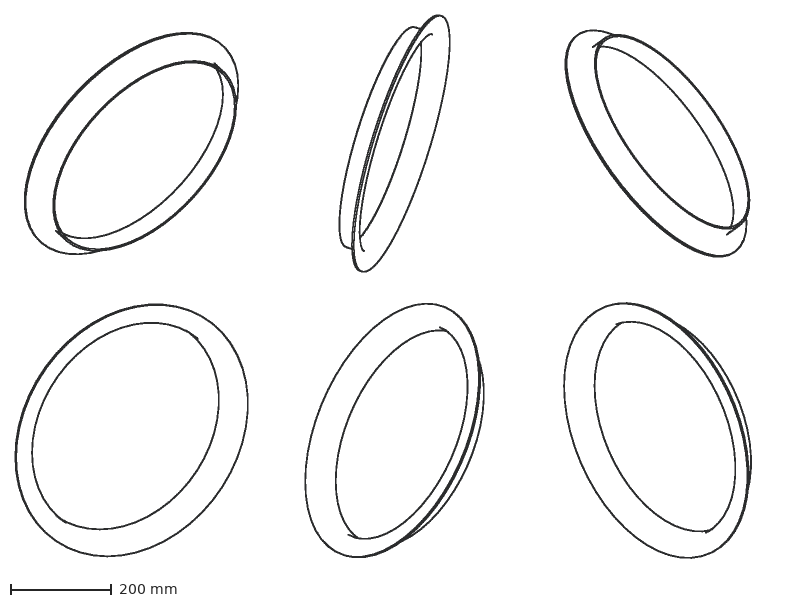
import cadquery as cq
import math

flange_diameter = 532.0
sleeve_outer_diameter = 458.0
sleeve_inner_diameter = 450.0
total_length = 45.0
inner_bend_radius = 10.0

flange_radius = flange_diameter / 2
outer_radius = sleeve_outer_diameter / 2
bore_radius = sleeve_inner_diameter / 2
sheet_thickness = outer_radius - bore_radius
outer_bend_radius = inner_bend_radius - sheet_thickness

bend_x = inner_bend_radius
bend_y = bore_radius + inner_bend_radius


def bend_midpoint(radius):
    """Point halfway along a quarter bend of the given radius."""
    offset = radius * math.sqrt(0.5)
    return (bend_x - offset, bend_y - offset)


section = (
    cq.Workplane("XY")
    .moveTo(0, flange_radius)
    .lineTo(0, bend_y)
    .threePointArc(bend_midpoint(inner_bend_radius), (bend_x, bore_radius))
    .lineTo(total_length, bore_radius)
    .lineTo(total_length, outer_radius)
    .lineTo(bend_x, outer_radius)
    .threePointArc(bend_midpoint(outer_bend_radius), (sheet_thickness, bend_y))
    .lineTo(sheet_thickness, flange_radius)
    .close()
)

result = section.revolve(360, (0, 0, 0), (1, 0, 0))